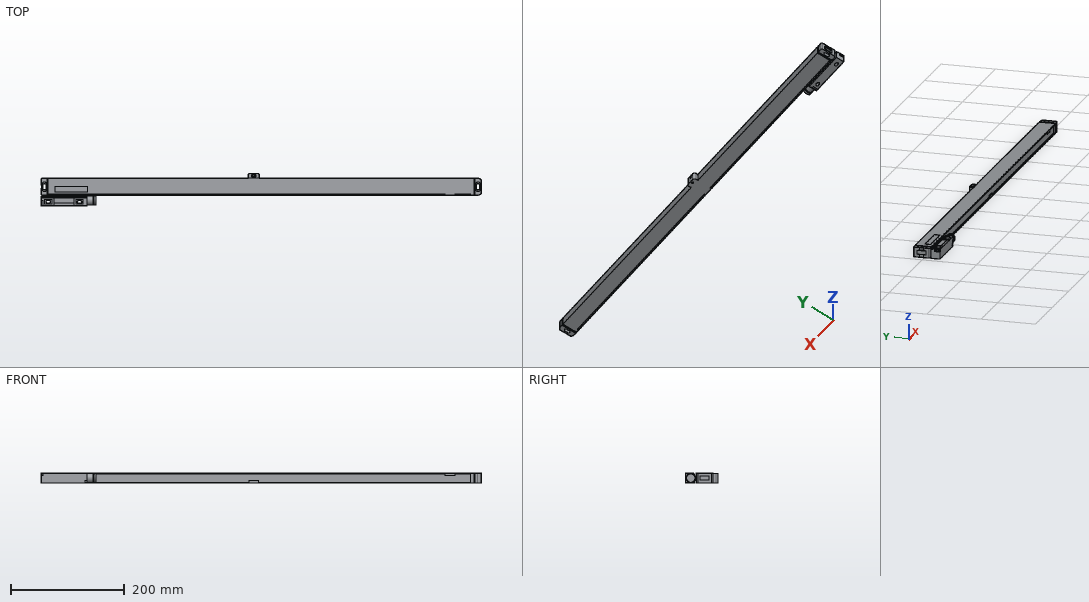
import cadquery as cq
import math

LENGTH = 775.0
HEIGHT = 18.0

RAIL_WIDTH = 30.0
LEFT_CAP_LENGTH = 10.0
RIGHT_CAP_LENGTH = 11.0
CAP_SEAM_DEPTH = 0.4
CAP_SEAM_WIDTH = 2.0
LEFT_CORNER_RADIUS = 2.0
RIGHT_NOSE_LENGTH = 7.0
RIGHT_NOSE_INSET = 3.0
CHANNEL_DEPTH = 2.0
CHANNEL_LIP = 1.5
CHANNEL_END_X = 756.5
CHANNEL_BLOCK_LENGTH = 17.0
CHANNEL_BLOCK_HEIGHT = 3.0
UPPER_BLOCK_CENTER_X = 720.0
CAP_HOLE_INSET = 5.8
CAP_SLOT_LENGTH = 11.0
CAP_SLOT_WIDTH = 5.5
CAP_RECESS_LENGTH = 17.0
CAP_RECESS_WIDTH = 8.0
CAP_RECESS_DEPTH = 5.0
END_SLOT_WIDTH = 16.0
END_SLOT_HEIGHT = 7.0
END_SLOT_DEPTH = 1.0
END_GROOVE_WIDTH = 7.0
END_GROOVE_DEPTH = 0.4
LABEL_LENGTH = 57.0
LABEL_WIDTH = 10.0
LABEL_DEPTH = 0.4
LABEL_CENTER = (53.0, 11.0)

LUG_CENTER_X = 374.0
LUG_LENGTH = 20.0
LUG_HEIGHT = 17.0
LUG_REACH = 8.5
LUG_CORNER_RADIUS = 4.0
LUG_HOLE_DIAMETER = 3.0
LUG_BORE_DIAMETER = 8.0
LUG_BORE_DEPTH = 5.0
LUG_HOLE_OFFSET = 4.3

HEAD_GAP = 2.0
HEAD_FRONT_Y = -18.5
HEAD_LENGTH = 80.5
HEAD_STEP_WIDTH = 2.0
HEAD_STEP_DEPTH = 1.5
MOUNT_CENTERS_X = (12.5, 67.5)
MOUNT_CENTER_Y = -12.0
MOUNT_POCKET_LENGTH = 12.5
MOUNT_POCKET_WIDTH = 8.0
MOUNT_POCKET_DEPTH = 4.0
MOUNT_HOLE_LENGTH = 8.0
MOUNT_HOLE_WIDTH = 5.0
PANEL_START_X = 22.5
PANEL_END_X = 57.0
PANEL_FRONT_Y = -14.0
PANEL_DEPTH = 0.4
NOTCH_SIZE = 3.0
NOTCH_LENGTH = 9.0
NOTCH_LIP = 1.5
CABLE_CENTER_Y = -9.0
CABLE_DIAMETER = 16.0
CABLE_LENGTH = 16.0
CABLE_GROOVE_START = 11.0
CABLE_GROOVE_WIDTH = 1.5
CABLE_GROOVE_DEPTH = 1.0

HEAD_BACK_Y = -HEAD_GAP
RAIL_MIDDLE_Y = RAIL_WIDTH / 2
MIDDLE_Z = HEIGHT / 2


def box(x0, x1, y0, y1, z0, z1):
    return cq.Workplane("XY").box(x1 - x0, y1 - y0, z1 - z0, centered=False).translate((x0, y0, z0))


def cylinder_z(x, y, diameter, z0):
    return cq.Workplane("XY", origin=(x, y, z0)).circle(diameter / 2).extrude(HEIGHT - z0)


def slot_z(x, y, length, width, z0):
    """Slot elongated along Y, open at the top face."""
    return cq.Workplane("XY", origin=(x, y, z0)).slot2D(length, width, 90).extrude(HEIGHT - z0)


def support_lug():
    lug = box(
        LUG_CENTER_X - LUG_LENGTH / 2, LUG_CENTER_X + LUG_LENGTH / 2,
        RAIL_MIDDLE_Y, RAIL_WIDTH + LUG_REACH, 0, LUG_HEIGHT,
    )
    return lug.edges("|Z and >Y").fillet(LUG_CORNER_RADIUS)


def channel_block(center_x, z0):
    """Small block inside the channel, against one of its lips."""
    return box(
        center_x - CHANNEL_BLOCK_LENGTH / 2, center_x + CHANNEL_BLOCK_LENGTH / 2,
        0, CHANNEL_DEPTH, z0, z0 + CHANNEL_BLOCK_HEIGHT,
    )


def rail_blank():
    """Bar with rounded left corners and a right end that curves in on both sides."""
    nose_x = LENGTH - RIGHT_NOSE_LENGTH
    nose_radius = (RIGHT_NOSE_LENGTH**2 + RIGHT_NOSE_INSET**2) / (2 * RIGHT_NOSE_INSET)
    half_angle = math.asin(RIGHT_NOSE_LENGTH / nose_radius) / 2
    arc_x = nose_x + nose_radius * math.sin(half_angle)
    arc_inset = nose_radius * (1 - math.cos(half_angle))
    blank = (
        cq.Workplane("XY")
        .lineTo(nose_x, 0)
        .threePointArc((arc_x, arc_inset), (LENGTH, RIGHT_NOSE_INSET))
        .lineTo(LENGTH, RAIL_WIDTH - RIGHT_NOSE_INSET)
        .threePointArc((arc_x, RAIL_WIDTH - arc_inset), (nose_x, RAIL_WIDTH))
        .lineTo(0, RAIL_WIDTH)
        .close()
        .extrude(HEIGHT)
    )
    blank = blank.edges("|Z and <X").fillet(LEFT_CORNER_RADIUS)
    return blank.cut(box(
        LEFT_CAP_LENGTH + CAP_SEAM_WIDTH, CHANNEL_END_X, 0, CHANNEL_DEPTH,
        CHANNEL_LIP, HEIGHT - CHANNEL_LIP,
    ))


def make_scale_unit():
    unit = rail_blank().union(support_lug())
    unit = unit.union(channel_block(LUG_CENTER_X, CHANNEL_LIP))
    upper_block_z = HEIGHT - CHANNEL_LIP - CHANNEL_BLOCK_HEIGHT
    unit = unit.union(channel_block(UPPER_BLOCK_CENTER_X, upper_block_z))

    hole_y = RAIL_WIDTH + LUG_HOLE_OFFSET
    unit = unit.cut(cylinder_z(LUG_CENTER_X, hole_y, LUG_HOLE_DIAMETER, 0))
    unit = unit.cut(cylinder_z(LUG_CENTER_X, hole_y, LUG_BORE_DIAMETER, LUG_HEIGHT - LUG_BORE_DEPTH))

    for x in (CAP_HOLE_INSET, LENGTH - CAP_HOLE_INSET):
        unit = unit.cut(slot_z(x, RAIL_MIDDLE_Y, CAP_SLOT_LENGTH, CAP_SLOT_WIDTH, 0))
        recess_floor = HEIGHT - CAP_RECESS_DEPTH
        unit = unit.cut(slot_z(x, RAIL_MIDDLE_Y, CAP_RECESS_LENGTH, CAP_RECESS_WIDTH, recess_floor))

    for x in (LEFT_CAP_LENGTH, LENGTH - RIGHT_CAP_LENGTH - CAP_SEAM_WIDTH):
        seam = box(x, x + CAP_SEAM_WIDTH, 0, RAIL_WIDTH, 0, HEIGHT)
        core = box(
            x, x + CAP_SEAM_WIDTH, CAP_SEAM_DEPTH, RAIL_WIDTH - CAP_SEAM_DEPTH,
            CAP_SEAM_DEPTH, HEIGHT - CAP_SEAM_DEPTH,
        )
        unit = unit.cut(seam.cut(core))

    for x in (0, LENGTH - END_SLOT_DEPTH):
        unit = unit.cut(box(
            x, x + END_SLOT_DEPTH,
            RAIL_MIDDLE_Y - END_SLOT_WIDTH / 2, RAIL_MIDDLE_Y + END_SLOT_WIDTH / 2,
            MIDDLE_Z - END_SLOT_HEIGHT / 2, MIDDLE_Z + END_SLOT_HEIGHT / 2,
        ))

    unit = unit.cut(box(
        0, END_GROOVE_DEPTH, RAIL_MIDDLE_Y - END_GROOVE_WIDTH / 2, RAIL_MIDDLE_Y + END_GROOVE_WIDTH / 2,
        0, HEIGHT,
    ))

    label_x, label_y = LABEL_CENTER
    return unit.cut(box(
        label_x - LABEL_LENGTH / 2, label_x + LABEL_LENGTH / 2,
        label_y - LABEL_WIDTH / 2, label_y + LABEL_WIDTH / 2,
        HEIGHT - LABEL_DEPTH, HEIGHT,
    ))


def cable_outlet():
    def rod(x, diameter, length):
        return cq.Workplane("YZ", origin=(x, CABLE_CENTER_Y, MIDDLE_Z)).circle(diameter / 2).extrude(length)

    outlet = rod(HEAD_LENGTH, CABLE_DIAMETER, CABLE_LENGTH)
    groove_x = HEAD_LENGTH + CABLE_GROOVE_START
    groove = rod(groove_x, CABLE_DIAMETER, CABLE_GROOVE_WIDTH).cut(
        rod(groove_x, CABLE_DIAMETER - 2 * CABLE_GROOVE_DEPTH, CABLE_GROOVE_WIDTH))
    return outlet.cut(groove)


def make_reading_head():
    head = box(0, HEAD_LENGTH, HEAD_FRONT_Y, HEAD_BACK_Y, 0, HEIGHT)

    head = head.cut(box(
        0, HEAD_LENGTH, HEAD_BACK_Y - HEAD_STEP_WIDTH, HEAD_BACK_Y, HEIGHT - HEAD_STEP_DEPTH, HEIGHT,
    ))

    for x in MOUNT_CENTERS_X:
        head = head.cut(box(
            x - MOUNT_POCKET_LENGTH / 2, x + MOUNT_POCKET_LENGTH / 2,
            MOUNT_CENTER_Y - MOUNT_POCKET_WIDTH / 2, MOUNT_CENTER_Y + MOUNT_POCKET_WIDTH / 2,
            HEIGHT - MOUNT_POCKET_DEPTH, HEIGHT,
        ))
        hole = cq.Workplane("XY", origin=(x, MOUNT_CENTER_Y, 0))
        head = head.cut(hole.slot2D(MOUNT_HOLE_LENGTH, MOUNT_HOLE_WIDTH).extrude(HEIGHT))

    for front_y, depth in ((HEAD_FRONT_Y, PANEL_DEPTH), (PANEL_FRONT_Y, 2 * PANEL_DEPTH)):
        head = head.cut(box(
            PANEL_START_X, PANEL_END_X, front_y, HEAD_BACK_Y, HEIGHT - depth, HEIGHT,
        ))

    notch_top = HEIGHT - NOTCH_LIP
    for x, z in ((0, notch_top - NOTCH_SIZE), (HEAD_LENGTH - NOTCH_SIZE, NOTCH_LIP)):
        head = head.cut(box(x, x + NOTCH_SIZE, HEAD_FRONT_Y, HEAD_FRONT_Y + NOTCH_LENGTH, z, z + NOTCH_SIZE))

    return head.union(cable_outlet())


scale_unit = make_scale_unit()
reading_head = make_reading_head()

result = cq.Compound.makeCompound([scale_unit.val(), reading_head.val()])